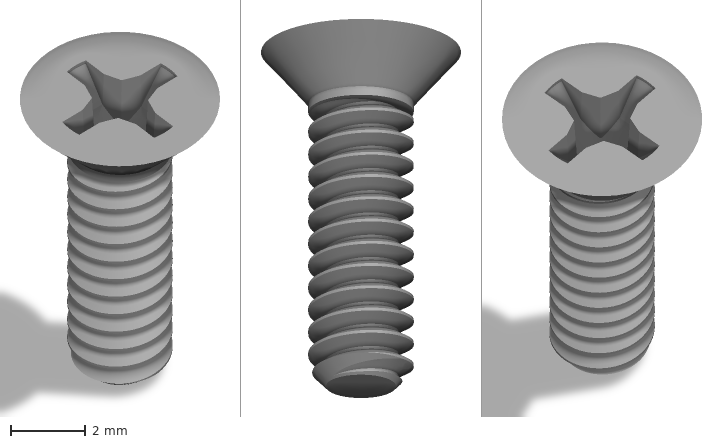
import cadquery as cq
import math

total_length = 9.53
head_radius = 5.38 / 2
head_height = 1.47
collar_height = 0.25
shank_radius = 1.42
tip_chamfer = 0.48
tip_radius = shank_radius - tip_chamfer
cutter_margin = 0.19
collar_top = total_length - head_height
collar_bottom = collar_top - collar_height

ten_pitches = 6.35
pitch = ten_pitches / 10
flat_width = pitch / 8
flank_angle = math.radians(30)
thread_depth = (pitch - 2 * flat_width) / (2 * math.tan(flank_angle))
root_radius = shank_radius - thread_depth
ridge_start = -0.76
ridge_turns = 16
ridge_overlap = 0.02

recess_tip_radius = 1.8
wing_half_width = 0.34
wing_root = 1.04
inner_corner = 0.53
wall_draft = 3
recess_depth = 2.48
recess_lip = 0.11


def make_tip_cutter():
    """Ring whose inner cone leaves a 45 degree chamfer at the tip."""
    low = -cutter_margin
    high = tip_chamfer + cutter_margin
    return cq.Workplane("XZ").polyline([
        (tip_radius - cutter_margin, low),
        (shank_radius + cutter_margin, high),
        (head_radius, high),
        (head_radius, low),
    ]).close().revolve(360, (0, 0), (0, 1))


def make_ridge():
    """Helical ridge, sunk a little into the core, with its crest on the shank radius."""
    inner_radius = root_radius - ridge_overlap
    inner_half = crest_half(inner_radius)
    outer_half = flat_width / 2

    def edge_helix(radius, height):
        center = cq.Vector(0, 0, ridge_start + height)
        return cq.Wire.makeHelix(pitch, ridge_turns * pitch, radius, center=center)

    inner_low = edge_helix(inner_radius, -inner_half)
    outer_low = edge_helix(shank_radius, -outer_half)
    outer_high = edge_helix(shank_radius, outer_half)
    inner_high = edge_helix(inner_radius, inner_half)
    edges = [inner_low, outer_low, outer_high, inner_high]
    faces = [cq.Face.makeRuledSurface(edges[i - 1], edges[i]) for i in range(len(edges))]
    ends = []
    for corners in (
        [edge.startPoint() for edge in edges],
        [edge.endPoint() for edge in edges],
    ):
        ends.append(cq.Face.makeFromWires(cq.Wire.makePolygon(corners, close=True)))
    return cq.Workplane(cq.Solid.makeSolid(cq.Shell.makeShell(faces + ends)))


def crest_half(radius):
    """Half the axial width of the ridge at a given radius."""
    return flat_width / 2 + (shank_radius - radius) * math.tan(flank_angle)


def make_head():
    """Conical head and the plain collar below it."""
    return cq.Workplane("XZ").polyline([
        (0, collar_bottom),
        (shank_radius, collar_bottom),
        (shank_radius, collar_top),
        (head_radius, total_length),
        (0, total_length),
    ]).close().revolve(360, (0, 0), (0, 1))


def make_recess():
    """Drafted cross trimmed by a conical floor below a short upright lip."""
    quarter = [
        (head_radius, wing_half_width),
        (wing_root, wing_half_width),
        (inner_corner, inner_corner),
        (wing_half_width, wing_root),
        (wing_half_width, head_radius),
    ]
    outline = []
    for turn_x, turn_y in ((1, 0), (0, 1), (-1, 0), (0, -1)):
        outline += [(x * turn_x - y * turn_y, x * turn_y + y * turn_x) for x, y in quarter]
    cross = (
        cq.Workplane("XY", origin=(0, 0, total_length))
        .polyline(outline).close()
        .extrude(-recess_depth, taper=wall_draft)
    )
    floor = cq.Workplane("XZ").polyline([
        (0, total_length),
        (recess_tip_radius, total_length),
        (recess_tip_radius, total_length - recess_lip),
        (0, total_length - recess_depth),
    ]).close().revolve(360, (0, 0), (0, 1))
    return cross.intersect(floor)


tip_cutter = make_tip_cutter()
shank_slab = cq.Workplane("XY").circle(head_radius).extrude(collar_bottom)
core = cq.Workplane("XY").circle(root_radius).extrude(collar_bottom).cut(tip_cutter)
thread = make_ridge().intersect(shank_slab).cut(tip_cutter)
result = core.union(thread).union(make_head()).cut(make_recess())